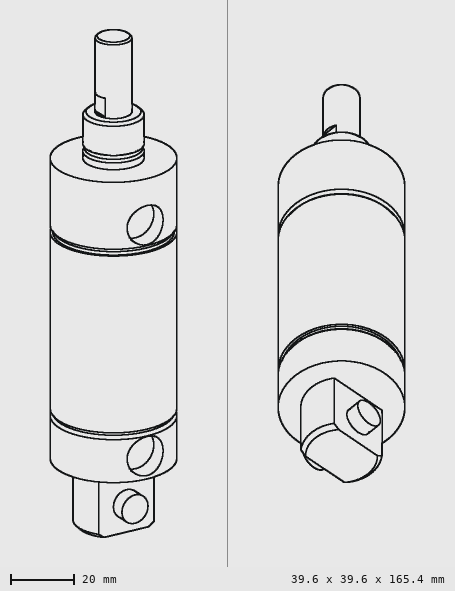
import cadquery as cq

overall_height = 165.4

barrel_radius = 19.8
cap_bottom = 22.3
lower_groove_bottom = 36.9
upper_groove_bottom = 99.0
groove_height = 2.3
groove_floor_height = 1.2
groove_depth = 0.8
cap_top = 124.0

collar_radius = 9.6
collar_top = 139.7
collar_chamfer = 1.0
relief_radius = 9.1
relief_base = 126.3
relief_floor_bottom = 127.3
relief_top = 128.8

tang_radius = 12.7
tang_thickness = 15.4
tang_chamfer = 1.5
pin_diameter = 9.6
pin_length = 2 * tang_radius
pin_height = 9.6

port_radius = 6.6
port_depth = 6.6
lower_port_height = 30.1
upper_port_height = 108.3

rod_radius = 5.8
rod_chamfer = 0.7
rod_bottom = upper_groove_bottom + groove_height
flat_bottom = 140.0
flat_top = 146.3
across_flats = 10.0


def make_barrel():
    """Revolve the caps, grooved tube and collar as one profile."""
    floor_radius = barrel_radius - groove_depth
    lower_groove_top = lower_groove_bottom + groove_height
    upper_groove_top = upper_groove_bottom + groove_height
    profile = [
        (0, cap_bottom),
        (barrel_radius, cap_bottom),
        (barrel_radius, lower_groove_bottom),
        (floor_radius, lower_groove_top - groove_floor_height),
        (floor_radius, lower_groove_top),
        (barrel_radius, lower_groove_top),
        (barrel_radius, upper_groove_bottom),
        (floor_radius, upper_groove_bottom),
        (floor_radius, upper_groove_bottom + groove_floor_height),
        (barrel_radius, upper_groove_top),
        (barrel_radius, cap_top),
        (collar_radius, cap_top),
        (collar_radius, relief_base),
        (relief_radius, relief_floor_bottom),
        (relief_radius, relief_top),
        (collar_radius, relief_top),
        (collar_radius, collar_top - collar_chamfer),
        (collar_radius - collar_chamfer, collar_top),
        (0, collar_top),
    ]
    return cq.Workplane("XZ").polyline(profile).close().revolve(360, (0, 0), (0, 1))


def make_tang():
    """Round boss with a chamfered end, trimmed by two flats facing X."""
    boss = cq.Workplane("XY").circle(tang_radius).extrude(cap_bottom)
    boss = boss.faces("<Z").chamfer(tang_chamfer)
    slab = cq.Workplane("XY").box(tang_thickness, 2 * tang_radius, cap_bottom, centered=(True, True, False))
    return boss.intersect(slab)


def make_port(height):
    """Blind radial hole cutter entering from the +X side."""
    port_floor = barrel_radius - port_depth
    return (
        cq.Workplane("YZ", origin=(port_floor, 0, height))
        .circle(port_radius)
        .extrude(port_depth)
    )


def make_pin():
    """Pivot pin along X, centred on the tang."""
    return (
        cq.Workplane("YZ", origin=(-pin_length / 2, 0, pin_height))
        .circle(pin_diameter / 2)
        .extrude(pin_length)
    )


def make_rod_bore():
    """Cutter for the bore through the collar and the upper cap."""
    return (
        cq.Workplane("XY", origin=(0, 0, rod_bottom))
        .circle(rod_radius)
        .extrude(collar_top - rod_bottom)
    )


def make_housing():
    """Barrel and tang with the ports, rod bore and pin hole cut."""
    housing = make_barrel().union(make_tang())
    for height in (lower_port_height, upper_port_height):
        housing = housing.cut(make_port(height))
    return housing.cut(make_rod_bore()).cut(make_pin())


def make_rod():
    """Chamfered rod with two wrench flats facing -Y and +Y."""
    rod = (
        cq.Workplane("XY", origin=(0, 0, rod_bottom))
        .circle(rod_radius)
        .extrude(overall_height - rod_bottom)
        .faces(">Z")
        .chamfer(rod_chamfer)
    )
    flat_length = flat_top - flat_bottom
    for side in (-1, 1):
        cutter = cq.Workplane("XY").box(2 * rod_radius, rod_radius, flat_length)
        flat_center = side * (across_flats + rod_radius) / 2
        rod = rod.cut(cutter.translate((0, flat_center, flat_bottom + flat_length / 2)))
    return rod


housing = make_housing()
rod = make_rod()
pivot_pin = make_pin()

result = cq.Compound.makeCompound([housing.val(), rod.val(), pivot_pin.val()])